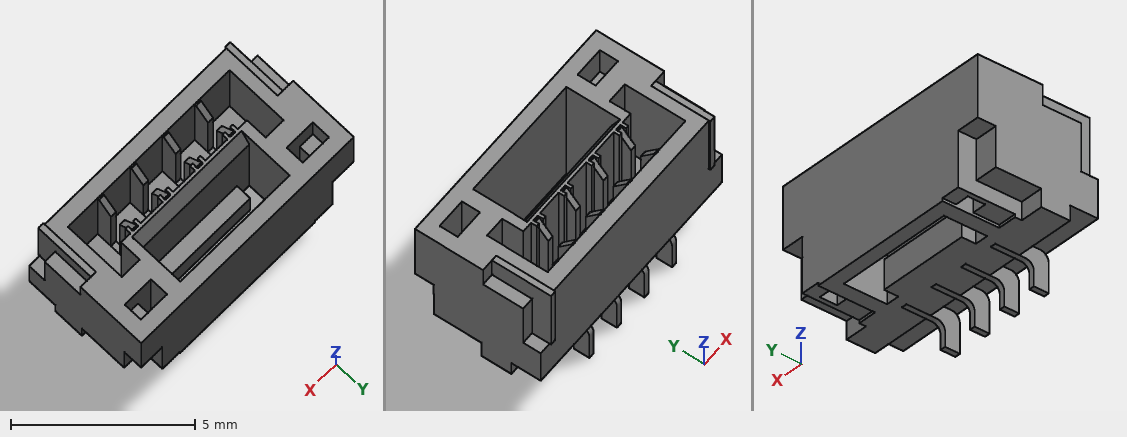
import cadquery as cq

length = 8.25
depth = 4.25
height = 4.05
proud = 0.05
sheet = 0.2

front_wall = 0.5
cavity_half = 3.135
cavity_floor = 1.0
cavity_back = 2.55
pocket_inner = 2.44
tongue_front = 1.84
tongue_tip = 0.11
tongue_thickness = 0.405
tongue_bevel_height = 0.54
tongue_tip_back = tongue_front + tongue_tip
tongue_back = tongue_front + tongue_thickness
rib_width = 0.405
rib_depth = 0.19

window_half = 2.12
back_wall = 0.48
catch_half = 1.64
catch_depth = 0.5
catch_height = 1.0

hole_outer = 3.65
hole_inner = 2.63
hole_length = 0.61
hole_step_depth = 1.0

front_relief_depth = 0.99
front_relief_height = 0.5
post_relief_height = 0.1

back_notch_width = 0.825
back_notch_column = 0.64
back_notch_top = 1.96
back_notch_reach = 2.24
back_notch_strip = 0.61

tab_cover = 0.405
tab_arm = 0.67
tab_column = 0.64
tab_height = 2.26

contact_count = 4
contact_pitch = 1.25
fork_top_gap = 0.05
fork_top = height - fork_top_gap
fork_tip = 0.05
fork_bevel = 0.45
fork_bevel_height = 0.5
tail_drop = 0.8
tail_width = 0.53
bend_outer_radius = 0.3
bend_inner_radius = 0.3


def box(x_range, y_range, z_range):
    """Block between the given limits."""
    (x0, x1), (y0, y1), (z0, z1) = x_range, y_range, z_range
    return cq.Workplane("XY").box(x1 - x0, y1 - y0, z1 - z0, centered=False).translate((x0, y0, z0))


def side_profile(points, x_start, width):
    """Outline of (y, z) points extruded along +X from x_start."""
    return cq.Workplane("YZ").workplane(offset=x_start).polyline(points).close().extrude(width)


def both_ends(shape):
    """The shape together with its mirror image at the other end of the part."""
    return [shape, shape.mirror("YZ")]


def tab_outline():
    """Upside-down L: an arm along the top edge and a column down the front edge."""
    return [
        (-proud, height),
        (tongue_tip_back, height),
        (tongue_tip_back, height - tab_arm),
        (tab_column - proud, height - tab_arm),
        (tab_column - proud, height - tab_height),
        (-proud, height - tab_height),
    ]


def make_tabs():
    tab = side_profile(tab_outline(), -length / 2 + tab_cover, sheet)
    return both_ends(tab)


def make_contact(x):
    """Fork with two bevelled prongs on a base, and a tail bent down outside the housing."""
    tail_front = -proud
    tail_back = tail_front + tail_width
    prong = fork_tip + fork_bevel
    bevel_end = fork_top - fork_bevel_height
    return (
        cq.Workplane("YZ")
        .workplane(offset=x - sheet / 2)
        .moveTo(tongue_front, 0)
        .lineTo(tongue_front, fork_top)
        .lineTo(tongue_front - fork_tip, fork_top)
        .lineTo(tongue_front - prong, bevel_end)
        .lineTo(tongue_front - prong, cavity_floor)
        .lineTo(front_wall + prong, cavity_floor)
        .lineTo(front_wall + prong, bevel_end)
        .lineTo(front_wall + fork_tip, fork_top)
        .lineTo(front_wall, fork_top)
        .lineTo(front_wall, front_relief_height)
        .lineTo(tail_front + bend_outer_radius, front_relief_height)
        .radiusArc((tail_front, front_relief_height - bend_outer_radius), -bend_outer_radius)
        .lineTo(tail_front, -tail_drop)
        .lineTo(tail_back, -tail_drop)
        .lineTo(tail_back, -bend_inner_radius)
        .radiusArc((tail_back + bend_inner_radius, 0), bend_inner_radius)
        .close()
        .extrude(sheet)
    )


def cut_cavity(body):
    """T-shaped contact cavity, with the tongue standing between its two end pockets."""
    above_floor = (cavity_floor, height)
    body = body.cut(box((-cavity_half, cavity_half), (front_wall, tongue_front), above_floor))
    pocket = box((-cavity_half, -pocket_inner), (tongue_front, cavity_back), above_floor)
    for end in both_ends(pocket):
        body = body.cut(end)
    return body


def cut_latch_window(body):
    """Window through the housing; the tongue's back face is bevelled and carries a catch."""
    window = [
        (tongue_tip_back, height),
        (tongue_back, height - tongue_bevel_height),
        (tongue_back, 0),
        (depth - back_wall, 0),
        (depth - back_wall, height),
    ]
    body = body.cut(side_profile(window, -window_half, 2 * window_half))
    catch = box((-catch_half, catch_half), (tongue_back, tongue_back + catch_depth), (0, catch_height))
    return body.union(catch)


def cut_corner_holes(body):
    """Holes whose inner half goes through and whose outer half stops at a step."""
    hole_back = depth - back_wall
    across = (hole_back - hole_length, hole_back)
    through = box((-cavity_half, -hole_inner), across, (0, height))
    step = box((-hole_outer, -cavity_half), across, (height - hole_step_depth, height))
    for end in both_ends(through.union(step)):
        body = body.cut(end)
    return body


def cut_back_notches(body):
    """L-shaped notches low on both ends, and a shallow relief under the walls beside them."""
    notch_outline = [
        (depth, 0),
        (depth, back_notch_top),
        (depth - back_notch_column, back_notch_top),
        (depth - back_notch_column, back_notch_strip),
        (depth - back_notch_reach, back_notch_strip),
        (depth - back_notch_reach, 0),
    ]
    notch = side_profile(notch_outline, -length / 2, back_notch_width)
    relief_ends = (-length / 2 + back_notch_width, -hole_inner)
    relief = box(relief_ends, (tongue_back, depth), (0, post_relief_height))
    for end in both_ends(notch) + both_ends(relief):
        body = body.cut(end)
    return body


def cut_tab_seats(body):
    """L-shaped recesses that hold the tabs, each deeper than its tab is thick."""
    seat = side_profile(tab_outline(), -length / 2, tab_cover + sheet)
    for end in both_ends(seat):
        body = body.cut(end)
    return body


def add_contact_ribs(body, x):
    """Pair of ribs on the tongue, with the contact's rear prong standing in the slot between them."""
    rib_range = (tongue_front - rib_depth, tongue_front)
    above_floor = (cavity_floor, height)
    ribs = box((x - rib_width / 2, x + rib_width / 2), rib_range, above_floor)
    slot = box((x - sheet / 2, x + sheet / 2), rib_range, above_floor)
    return body.union(ribs.cut(slot))


def make_housing(contacts):
    whole_length = (-length / 2, length / 2)
    body = box(whole_length, (0, depth), (0, height))
    body = body.cut(box(whole_length, (0, front_relief_depth), (0, front_relief_height)))
    body = cut_cavity(body)
    body = cut_latch_window(body)
    body = cut_corner_holes(body)
    body = cut_back_notches(body)
    body = cut_tab_seats(body)
    for x in contact_positions:
        body = add_contact_ribs(body, x)
    for contact in contacts:
        body = body.cut(contact)
    return body


contact_positions = [(i - (contact_count - 1) / 2) * contact_pitch for i in range(contact_count)]
contacts = [make_contact(x) for x in contact_positions]
tabs = make_tabs()
housing = make_housing(contacts)

result = cq.Compound.makeCompound(
    [housing.val(), *[contact.val() for contact in contacts], *[tab.val() for tab in tabs]]
)